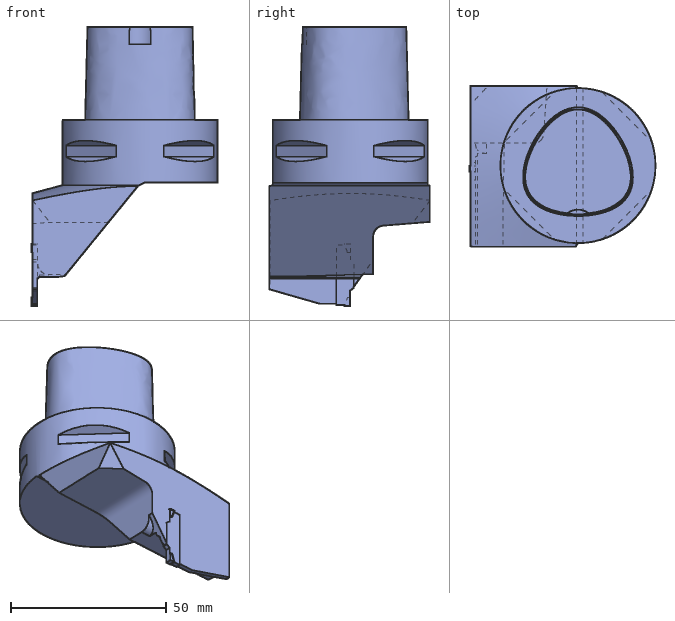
import cadquery as cq
import math

total_height = 90.0
flange_top = 60.0
flange_bottom = 39.8
cone_top = 39.0

shank_base_radius = 17.55
shank_lobe = 1.3
shank_taper = 1 / 40
shank_points = 48
key_radius = 5.4
key_depth = 1.35
key_height = 5.6

flange_radius = 25.0
slot_floor = 22.2
slot_z = 49.95
slot_floor_width = 3.5
slot_mouth_width = 6.75
slot_count = 4

face_x = -34.65
head_front_y = -26.2
head_back_y = 25.65
cone_angle = 15.0
underside_end_x = -26.4
ramp_start_x = -24.3
ramp_start_z = 9.6
ramp_end_x = -0.6
ramp_end_z = 38.7
neck_x = 1.5
head_bottom = 9.4
underside_rise = 0.9
relief_y = 7.4
relief_z = 27.1
relief_slope = 0.08
relief_fillet = 3.5
corner_cut = 5.85
edge_chamfer_x = 0.6
edge_chamfer_y = 0.2

blade_back_x = -33.0
blade_bottom = 0.7
blade_root = 0.6
blade_slant_y = -9.9
blade_corner_z = 5.4
blade_relief_z = 15.1
blade_toe_z = 6.1
root_radius = 3.5

insert_right_y = -4.6
insert_left_y = -0.1
insert_bulge_y = 1.1
insert_top = 20.1
insert_middle = insert_top / 2
insert_end_relief = 0.3
bulge_half_length = 4.2
bulge_ramp = 0.9
tip_width = 1.9
tip_neck_width = 0.9
tip_length = 2.8
tip_rise = 0.4


def extrude_y(points, y_start, y_end):
    """Prism of an (x, z) outline between two Y planes."""
    plane = cq.Workplane("XZ", origin=(0, y_start, 0))
    return plane.polyline(points).close().extrude(y_start - y_end)


def extrude_x(points, x_start, x_end):
    """Prism of a (y, z) outline between two X planes."""
    plane = cq.Workplane("YZ", origin=(x_start, 0, 0))
    return plane.polyline(points).close().extrude(x_end - x_start)


def shank_section(z):
    """Closed three-lobed wire with one lobe toward +Y."""
    radius = shank_base_radius - (z - flange_top) * shank_taper
    points = []
    for i in range(shank_points):
        t = 2 * math.pi * i / shank_points
        x = radius * math.sin(t) - shank_lobe * math.sin(2 * t)
        y = radius * math.cos(t) + shank_lobe * math.cos(2 * t)
        points.append(cq.Vector(x, y, z))
    return cq.Wire.assembleEdges([cq.Edge.makeSpline(points, periodic=True)])


def make_shank():
    sections = [shank_section(flange_top), shank_section(total_height)]
    shank = cq.Workplane(cq.Solid.makeLoft(sections, True))
    top_radius = shank_base_radius - (total_height - flange_top) * shank_taper
    flat_y = -(top_radius - shank_lobe)
    keyway = (
        cq.Workplane("XY", origin=(0, flat_y + key_depth - key_radius, total_height - key_height))
        .circle(key_radius)
        .extrude(key_height)
    )
    return shank.cut(keyway)


def make_flange():
    flange = (
        cq.Workplane("XY", origin=(0, 0, flange_bottom))
        .circle(flange_radius)
        .extrude(flange_top - flange_bottom)
    )
    half_floor = slot_floor_width / 2
    half_mouth = slot_mouth_width / 2
    slot = extrude_y(
        [
            (slot_floor, slot_z - half_floor),
            (flange_radius, slot_z - half_mouth),
            (flange_radius, slot_z + half_mouth),
            (slot_floor, slot_z + half_floor),
        ],
        -flange_radius,
        flange_radius,
    )
    for i in range(slot_count):
        angle = (i + 0.5) * 360 / slot_count
        flange = flange.cut(slot.rotate((0, 0, 0), (0, 0, 1), angle))
    return flange


def cone_envelope():
    """Everything below the flange and its conical shoulder."""
    reach = 2 * flange_radius
    rim_z = cone_top - (reach - flange_radius) * math.tan(math.radians(cone_angle))
    return (
        cq.Workplane("XZ")
        .polyline(
            [
                (0, 0),
                (reach, 0),
                (reach, rim_z),
                (flange_radius, cone_top),
                (flange_radius, flange_bottom),
                (0, flange_bottom),
            ]
        )
        .close()
        .revolve(360, (0, 0, 0), (0, 1, 0))
    )


def head_outline():
    """Wedge-shaped head with the blade below it, seen along Y."""
    return extrude_y(
        [
            (face_x, 0),
            (blade_back_x, 0),
            (blade_back_x, head_bottom - blade_root),
            (blade_back_x + blade_root, head_bottom),
            (underside_end_x, head_bottom),
            (ramp_start_x, ramp_start_z),
            (ramp_end_x, ramp_end_z),
            (neck_x, flange_bottom),
            (face_x, flange_bottom),
        ],
        head_front_y,
        head_back_y,
    )


def side_relief():
    """Space cut away under the +Y half of the head, with a rounded corner."""
    corner_z = relief_z - relief_slope * (head_back_y - relief_y)
    prism = extrude_x(
        [(relief_y, 0), (head_back_y, 0), (head_back_y, relief_z), (relief_y, corner_z)],
        face_x,
        flange_radius,
    )
    return prism.edges("|X").edges("<Y").edges(">Z").fillet(relief_fillet)


def blade_cutaway(x_start, x_end):
    """Space below the steep +Y edge of the blade, between two X planes."""
    return extrude_x(
        [
            (insert_left_y, 0),
            (relief_y, 0),
            (relief_y, blade_relief_z),
            (insert_bulge_y, blade_toe_z),
            (insert_left_y, blade_toe_z),
        ],
        x_start,
        x_end,
    )


def underside_wedge():
    """Space below the head underside, which rises slightly toward +Y."""
    return extrude_x(
        [
            (head_front_y, 0),
            (relief_y, 0),
            (relief_y, head_bottom + underside_rise),
            (head_front_y, head_bottom),
        ],
        blade_back_x + blade_root,
        flange_radius,
    )


def root_rounding():
    """Space outside the rounded lower edge of the head where the blade is cut away."""
    centre_x = blade_back_x + root_radius
    centre_z = head_bottom + underside_rise + root_radius
    cylinder = (
        cq.Workplane("XZ", origin=(centre_x, relief_y, centre_z))
        .circle(root_radius)
        .extrude(relief_y - insert_left_y)
    )
    above = (
        cq.Workplane("XY", origin=(centre_x, 0, centre_z))
        .rect(2 * root_radius, 2 * flange_radius)
        .extrude(blade_relief_z)
    )
    return blade_cutaway(blade_back_x, centre_x).cut(cylinder).cut(above)


def blade_trim():
    """Spaces below the slanted edges of the blade."""
    back = blade_cutaway(face_x, blade_back_x)
    front = extrude_x(
        [
            (head_front_y, 0),
            (insert_left_y, 0),
            (insert_left_y, blade_bottom),
            (blade_slant_y, blade_bottom),
            (head_front_y, blade_corner_z),
        ],
        face_x,
        blade_back_x,
    )
    return back.union(front)


def corner_facet():
    """Tetrahedron removed from the -X, +Y corner below the shoulder."""
    corner_reach = math.hypot(face_x, head_back_y) - flange_radius
    apex_z = cone_top - corner_reach * math.tan(math.radians(cone_angle))
    drop = apex_z - (relief_z - relief_slope * corner_cut)
    scale = apex_z / drop
    apex = cq.Vector(face_x, head_back_y, apex_z)
    foot = cq.Vector(face_x, head_back_y, 0)
    along_y = cq.Vector(face_x, head_back_y - corner_cut * scale, 0)
    along_x = cq.Vector(face_x + corner_cut * scale, head_back_y, 0)
    corners = [apex, foot, along_y, along_x]
    faces = []
    for skipped in corners:
        triangle = [p for p in corners if p is not skipped]
        faces.append(cq.Face.makeFromWires(cq.Wire.makePolygon(triangle, close=True)))
    return cq.Workplane(cq.Solid.makeSolid(cq.Shell.makeShell(faces)))


def edge_bevel():
    """Narrow bevel along the vertical -X, -Y edge."""
    return (
        cq.Workplane("XY")
        .polyline(
            [
                (face_x, head_front_y),
                (face_x + edge_chamfer_x, head_front_y),
                (face_x, head_front_y + edge_chamfer_y),
            ]
        )
        .close()
        .extrude(flange_bottom)
    )


def make_head():
    head = head_outline().intersect(cone_envelope())
    head = head.cut(side_relief()).cut(blade_trim())
    head = head.cut(underside_wedge()).cut(root_rounding())
    return head.cut(corner_facet()).cut(edge_bevel())


def insert_tip(direction):
    """Raised cutting corner; direction is +1 for the upper end, -1 for the lower."""
    end_z = insert_middle + direction * insert_middle
    inner_z = end_z - direction * tip_length
    return extrude_x(
        [
            (insert_left_y, end_z),
            (insert_left_y - tip_width, end_z),
            (insert_left_y - tip_neck_width, inner_z),
            (insert_left_y, inner_z),
        ],
        face_x - tip_rise,
        blade_back_x,
    )


def make_insert():
    low_end = insert_end_relief
    high_end = insert_top - insert_end_relief
    insert = extrude_x(
        [
            (insert_right_y, low_end),
            (insert_left_y, low_end),
            (insert_left_y, insert_middle - bulge_half_length - bulge_ramp),
            (insert_bulge_y, insert_middle - bulge_half_length),
            (insert_bulge_y, insert_middle + bulge_half_length),
            (insert_left_y, insert_middle + bulge_half_length + bulge_ramp),
            (insert_left_y, high_end),
            (insert_right_y, high_end),
        ],
        face_x,
        blade_back_x,
    )
    for direction in (1, -1):
        insert = insert.union(insert_tip(direction))
    return insert


insert = make_insert()
holder = make_flange().union(make_shank()).union(make_head()).cut(insert)

result = cq.Compound.makeCompound([*holder.vals(), *insert.vals()])